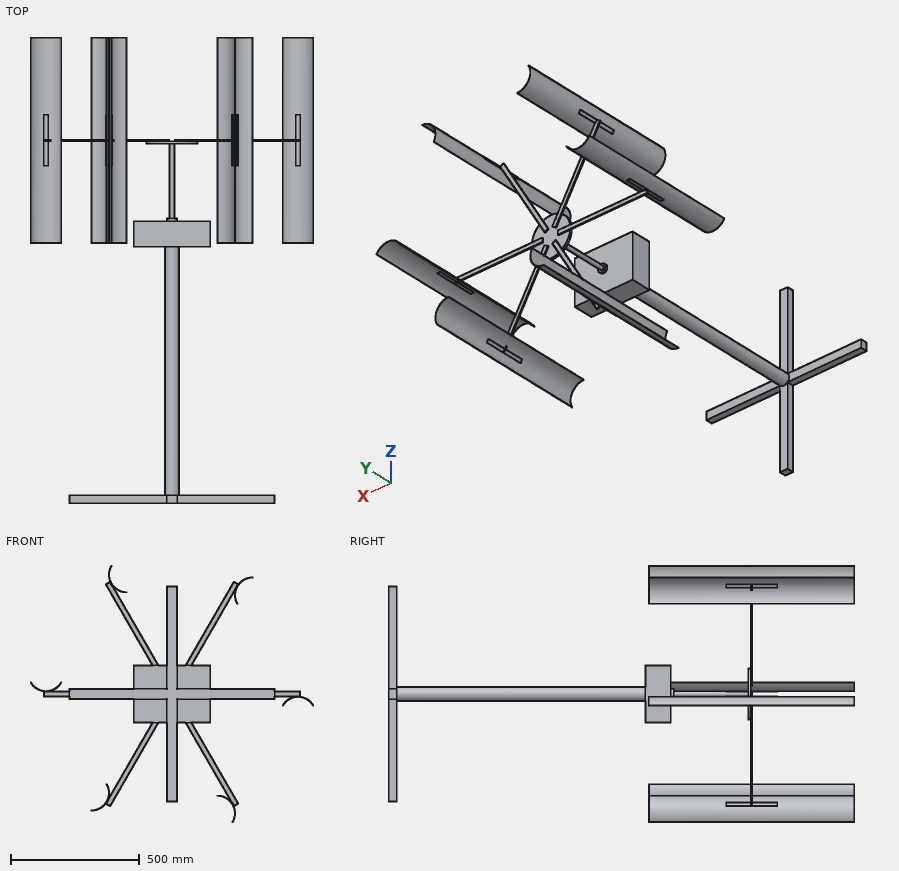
import cadquery as cq
import math


bar_size = 40.0
bar_depth = 33.0
foot_width = 800.0
foot_height = 838.0

mast_dia = 56.0
box_front = 999.0
box_width = 300.0
box_height = 223.0
box_depth = 100.0
collar_dia = 40.0
collar_length = 10.0
shaft_dia = 20.0
shaft_length = 301.0

hub_dia = 200.0
hub_thickness = 10.0
arm_count = 6
arm_inner_radius = 40.0
arm_tip_radius = 499.0
arm_width = 20.0
arm_thickness = 5.0

pad_length = 200.0
pad_width = 16.0
pad_thickness = 2.0

blade_length = 800.0
blade_chord = 120.0
blade_depth = 35.0
blade_thickness = 1.5

mast_front = bar_depth
shaft_front = box_front + box_depth
hub_front = shaft_front + shaft_length
arm_front = hub_front + hub_thickness
rotor_mid = arm_front + arm_thickness / 2

pad_middle_radius = arm_tip_radius - pad_width / 2
pad_face_z = -arm_width / 2


def box(size_x, size_y, size_z, center):
    return cq.Workplane("XY").box(size_x, size_y, size_z).translate(center)


def rod(diameter, front, length):
    """Cylinder on the turbine axis that starts at Y = front and runs toward +Y."""
    return cq.Workplane("XZ", origin=(0, front, 0)).circle(diameter / 2).extrude(-length)


def turned(shape, index):
    """Shape turned about the turbine axis to the arm with the given index."""
    return shape.rotate((0, 0, 0), (0, 1, 0), index * 360 / arm_count)


def make_foot():
    center = (0, bar_depth / 2, 0)
    across = box(foot_width, bar_depth, bar_size, center)
    upright = box(bar_size, bar_depth, foot_height, center)
    return across.union(upright)


def make_arm():
    """Arm along +X with its pad."""
    arm_length = arm_tip_radius - arm_inner_radius
    arm_middle = (arm_inner_radius + arm_tip_radius) / 2
    arm = box(arm_length, arm_thickness, arm_width, (arm_middle, rotor_mid, 0))
    pad_center = (pad_middle_radius, rotor_mid, pad_face_z + pad_thickness / 2)
    pad = box(pad_width, pad_length, pad_thickness, pad_center)
    return arm.union(pad)


def make_frame():
    """Foot, mast, box, shaft, hub and arms as one solid."""
    frame = make_foot()
    frame = frame.union(rod(mast_dia, mast_front, box_front - mast_front))
    box_center = (0, box_front + box_depth / 2, 0)
    frame = frame.union(box(box_width, box_depth, box_height, box_center))
    frame = frame.union(rod(collar_dia, shaft_front, collar_length))
    frame = frame.union(rod(shaft_dia, shaft_front, shaft_length))
    frame = frame.union(rod(hub_dia, hub_front, hub_thickness))
    for index in range(arm_count):
        frame = frame.union(turned(make_arm(), index))
    return frame


def make_blade():
    """Blade of the arm along +X: an arc-shaped sheet, tangent to the pad at its middle."""
    half_chord = blade_chord / 2
    outer_radius = (half_chord**2 + blade_depth**2) / (2 * blade_depth)
    inner_radius = outer_radius - blade_thickness
    half_angle = math.asin(half_chord / outer_radius)
    arc_center_z = pad_face_z - outer_radius

    def arc_point(radius, angle):
        x = pad_middle_radius + radius * math.sin(angle)
        z = arc_center_z + radius * math.cos(angle)
        return (x, z)

    return (
        cq.Workplane("XZ", origin=(0, rotor_mid, 0))
        .moveTo(*arc_point(outer_radius, -half_angle))
        .threePointArc(arc_point(outer_radius, 0), arc_point(outer_radius, half_angle))
        .lineTo(*arc_point(inner_radius, half_angle))
        .threePointArc(arc_point(inner_radius, 0), arc_point(inner_radius, -half_angle))
        .close()
        .extrude(blade_length / 2, both=True)
    )


frame = make_frame()
blades = [turned(make_blade(), index) for index in range(arm_count)]

result = cq.Compound.makeCompound([frame.val(), *[blade.val() for blade in blades]])